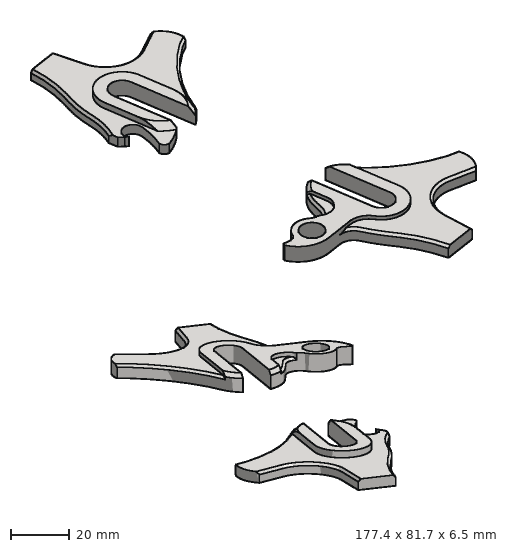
import cadquery as cq
import math


total_length = 177.38
axle_spacing = 110.0
arm_length = (total_length - axle_spacing) / 2
overall_height = 6.5
hook_plate_thickness = 4.0
hanger_plate_thickness = 5.0
edge_chamfer = 1.0

slot_radius = 5.05
rim_radius = 2 * slot_radius
slot_run = 40.0

nose_center = (15.65, 0.0)
nose_radius = 12.85
nose_corner_y = 10.2

arm_top_y = 6.8
arm_bottom_y = -7.0
arm_top_slope = math.radians(6)

lean = math.radians(20)
upper_arm_back = (-14.2, 35.6)
upper_arm_width = 12.65
upper_arm_bulge = 2.0
upper_arm_straight = 4.0
throat_radius = 13.0
front_curve_point = (8.3, 22.4)

lower_straight_start = (-16.1, -11.7)
lower_straight_end = (-12.9, -13.2)

hook_lower_bend = (-1.4, -16.8)
hook_heel_start = (9.8, -21.15)
hook_heel_end = (13.7, -21.15)
hook_barb = (16.6, -18.6)
hook_barb_inner = (15.3, -19.0)
notch_center = (15.8, -15.25)
notch_radius = 4.05
notch_end = math.radians(75 - 360)
hook_under_mid = (22.2, -13.1)
hook_under_end = (27.3, -15.7)
hook_tip_mid = (29.2, -15.1)
hook_tip_end = (30.05, -13.6)
hook_front_mid = (28.8, -9.2)
hook_front_top_x = 26.8

rim_end_x = 13.84
rim_end_radius = 13.4

eye_center = (8.2, -28.85)
eye_radius = 7.2
eye_hole_radius = 4.65
hanger_back_x = eye_center[0] - eye_radius
hanger_lower_bend = (-3.3, -16.85)
hanger_back_fillet = 8.0
neck_radius = 6.0
neck_center = (15.6, -rim_radius - neck_radius)
plate_neck_radius = 5.0
plate_neck_x = 16.6
leg_slope = math.radians(23)
leg_straight = 5.1
stop_eye_angle = math.radians(-64)
stop_inner_mid = (10.7, -36.9)
stop_inner_end = (10.75, -38.5)
stop_tip = (11.5, -41.0)
stop_tip_back = (10.5, -41.42)


def polar(center, radius, angle):
    """Point at a distance and a bearing from another point."""
    return (center[0] + radius * math.cos(angle), center[1] + radius * math.sin(angle))


def line(a, b):
    return cq.Edge.makeLine(cq.Vector(*a), cq.Vector(*b))


def arc(a, mid, b):
    return cq.Edge.makeThreePointArc(cq.Vector(*a), cq.Vector(*mid), cq.Vector(*b))


def arc_about(center, radius, start, end):
    """Arc on a circle, from one angle to another by way of the angle halfway."""
    return arc(
        polar(center, radius, start),
        polar(center, radius, (start + end) / 2),
        polar(center, radius, end),
    )


def tangent_arc(a, direction, b):
    return cq.Edge.makeTangentArc(cq.Vector(*a), cq.Vector(*direction), cq.Vector(*b))


def prism(edges, height):
    wire = cq.Wire.assembleEdges(edges)
    return cq.Workplane(cq.Solid.extrudeLinear(wire, [], cq.Vector(0, 0, height)))


def nose_x(y):
    return nose_center[0] + math.sqrt(nose_radius**2 - y**2)


def direction_between(a, b):
    return (b[0] - a[0], b[1] - a[1])


def upper_outline():
    """Edges from the upper slot corner around both arms to the end of the level arm.

    Returns the chamfered edges and the plain ones, the nose being the first plain edge.
    """
    arm_direction = lean + math.pi / 2
    back = upper_arm_back
    front = polar(back, upper_arm_width, lean)
    crown = polar(polar(back, upper_arm_width / 2, lean), upper_arm_bulge, arm_direction)
    front_bend = polar(front, -upper_arm_straight, arm_direction)

    slot_corner = (nose_x(slot_radius), slot_radius)
    nose_top = (nose_x(nose_corner_y), nose_corner_y)
    nose_mid_y = (slot_radius + nose_corner_y) / 2
    nose = arc(slot_corner, (nose_x(nose_mid_y), nose_mid_y), nose_top)

    arm_end = (-arm_length, arm_top_y)
    slope = math.tan(arm_top_slope)
    anchor = polar(arm_end, throat_radius, arm_top_slope + math.pi / 2)
    side = polar(back, throat_radius, lean + math.pi)
    drop = side[1] - anchor[1] - slope * (side[0] - anchor[0])
    travel = drop / (math.cos(lean) + slope * math.sin(lean))
    throat_center = polar(side, -travel, arm_direction)
    throat = arc_about(throat_center, throat_radius, lean, arm_top_slope - math.pi / 2)
    throat_start = polar(throat_center, throat_radius, lean)
    throat_end = polar(throat_center, throat_radius, arm_top_slope - math.pi / 2)

    chamfered = [
        arc(nose_top, front_curve_point, front_bend),
        line(front_bend, front),
        line(back, throat_start),
        throat,
        line(throat_end, arm_end),
    ]
    plain = [nose, arc(front, crown, back), line(arm_end, (-arm_length, arm_bottom_y))]
    return chamfered, plain


def lower_outline(bend):
    """Chamfered edges from the end of the level arm along the bottom, as far as a given bend."""
    slope = direction_between(lower_straight_start, lower_straight_end)
    backwards = (-slope[0], -slope[1])
    return [
        tangent_arc(lower_straight_start, backwards, (-arm_length, arm_bottom_y)),
        line(lower_straight_start, lower_straight_end),
        tangent_arc(lower_straight_end, slope, bend),
    ]


def chamfer_top(body, outline_edges, height, size):
    """Chamfer the top edges of a body that lie above the given outline edges."""
    tolerance = 0.001
    chosen = []
    for edge in body.faces(">Z").edges().vals():
        middle = edge.positionAt(0.5)
        below = cq.Vertex.makeVertex(middle.x, middle.y, middle.z - height)
        if min(outline.distance(below) for outline in outline_edges) < tolerance:
            chosen.append(edge)
    return body.newObject(chosen).chamfer(size)


def slot_shape(radius, length, height):
    """Round-ended bar about the axle, running towards +X."""
    bar = cq.Workplane().box(length, 2 * radius, height, centered=(False, True, False))
    return bar.union(cq.Workplane().circle(radius).extrude(height))


def cone(center, top_radius, base_z):
    """Cone with a 45 degree side, narrowing from base_z to the full height."""
    height = overall_height - base_z
    solid = cq.Solid.makeCone(top_radius + height, top_radius, height, cq.Vector(*center, base_z))
    return cq.Workplane(solid)


def hook_rim():
    """Rim of the hook dropout: each leg ends in an arc with a sloping face."""
    base_z = hook_plate_thickness
    height = overall_height - base_z
    rim = slot_shape(rim_radius, rim_end_x, height).translate((0, 0, base_z))
    for side in (1, -1):
        leg = cq.Workplane().box(slot_run, rim_radius, height, centered=(False, True, False))
        leg = leg.translate((rim_end_x, side * rim_radius / 2, base_z))
        end_center = (rim_end_x, side * (rim_radius - rim_end_radius))
        rim = rim.union(leg.intersect(cone(end_center, rim_end_radius, base_z)))
    return rim


def hook_dropout():
    chamfered, plain = upper_outline()
    chamfered += lower_outline(hook_lower_bend)
    bend_direction = chamfered[-1].tangentAt(1).toTuple()[:2]
    chamfered.append(tangent_arc(hook_lower_bend, bend_direction, hook_heel_start))

    notch_start = math.atan2(*reversed(direction_between(notch_center, hook_barb_inner)))
    notch_top = polar(notch_center, notch_radius, notch_end)
    front_top = (hook_front_top_x, -slot_radius)
    plain += [
        line(hook_heel_start, hook_heel_end),
        line(hook_heel_end, hook_barb),
        line(hook_barb, polar(notch_center, notch_radius, notch_start)),
        arc_about(notch_center, notch_radius, notch_start, notch_end),
        arc(notch_top, hook_under_mid, hook_under_end),
        arc(hook_under_end, hook_tip_mid, hook_tip_end),
        arc(hook_tip_end, hook_front_mid, front_top),
        line(front_top, (nose_x(slot_radius), slot_radius)),
    ]
    plate = prism(chamfered + plain, hook_plate_thickness)
    plate = chamfer_top(plate, chamfered, hook_plate_thickness, edge_chamfer)
    rim = hook_rim().intersect(prism(chamfered + plain, overall_height))
    return plate.union(rim).cut(slot_shape(slot_radius, slot_run, overall_height))


def plate_neck():
    """Center of the fillet between the plate and the eye, and the angle at which it touches the eye."""
    across = plate_neck_x - eye_center[0]
    up = math.sqrt((eye_radius + plate_neck_radius) ** 2 - across**2)
    return (plate_neck_x, eye_center[1] + up), math.atan2(up, across)


def hanger():
    """Full-height hanger arm with its stop, up to the lower leg of the rim."""
    plate_neck_center, eye_touch = plate_neck()
    neck_side = polar(plate_neck_center, plate_neck_radius, math.pi)
    eye_end = polar(eye_center, eye_radius, stop_eye_angle)

    fillet_x = hanger_back_x - hanger_back_fillet
    fillet_y = -math.sqrt((rim_radius + hanger_back_fillet) ** 2 - fillet_x**2)
    fillet_center = (fillet_x, fillet_y)
    rim_touch = math.atan2(-fillet_y, -fillet_x)
    on_rim = polar(fillet_center, hanger_back_fillet, rim_touch)
    back_top = (hanger_back_x, fillet_y)
    back_bottom = (hanger_back_x, eye_center[1])

    neck_start = (neck_center[0], -rim_radius)
    inside_rim = (neck_center[0], -slot_radius)
    edges = [
        line(on_rim, inside_rim),
        line(inside_rim, neck_start),
        line(neck_start, neck_side),
        arc_about(plate_neck_center, plate_neck_radius, math.pi, math.pi + eye_touch),
        arc_about(eye_center, eye_radius, eye_touch, stop_eye_angle),
        arc(eye_end, stop_inner_mid, stop_inner_end),
        line(stop_inner_end, stop_tip),
        line(stop_tip, stop_tip_back),
        tangent_arc(back_bottom, (0, -1), stop_tip_back),
        line(back_bottom, back_top),
        arc_about(fillet_center, hanger_back_fillet, 0, rim_touch),
    ]
    neck = cq.Workplane().center(*neck_center).circle(neck_radius).extrude(overall_height)
    return prism(edges, overall_height).cut(neck)


def hanger_dropout():
    chamfered, plain = upper_outline()
    upper_nose = plain[0]
    chamfered += lower_outline(hanger_lower_bend)

    bend_direction = chamfered[-1].tangentAt(1).toTuple()[:2]
    fall = math.atan2(-bend_direction[1], bend_direction[0])
    back_radius = (hanger_back_x - hanger_lower_bend[0]) / (1 - math.sin(fall))
    back_corner = (hanger_back_x, hanger_lower_bend[1] - back_radius * math.cos(fall))
    chamfered.append(tangent_arc(hanger_lower_bend, bend_direction, back_corner))

    plate_neck_center, eye_touch = plate_neck()
    neck_low = polar(plate_neck_center, plate_neck_radius, math.pi + eye_touch)
    plate_neck_top = leg_slope + math.pi / 2
    neck_high = polar(plate_neck_center, plate_neck_radius, plate_neck_top)
    nose_start = polar(neck_high, leg_straight, leg_slope)
    lower_corner = (nose_x(slot_radius), -slot_radius)
    lower_nose = tangent_arc(nose_start, direction_between(neck_high, nose_start), lower_corner)
    chamfered += [
        arc_about(plate_neck_center, plate_neck_radius, math.pi + eye_touch, plate_neck_top),
        line(neck_high, nose_start),
        lower_nose,
    ]
    plain += [
        line(back_corner, neck_low),
        line(lower_corner, (nose_x(slot_radius), slot_radius)),
    ]
    plate = prism(chamfered + plain, hanger_plate_thickness)
    plate = chamfer_top(plate, chamfered, hanger_plate_thickness, edge_chamfer)

    nose_chamfer = overall_height - hanger_plate_thickness
    rim = slot_shape(rim_radius, slot_run, overall_height)
    rim = rim.intersect(prism(chamfered + plain, overall_height))
    rim = rim.cut(slot_shape(slot_radius, slot_run, overall_height))
    rim = chamfer_top(rim, [upper_nose, lower_nose], overall_height, nose_chamfer)
    eye_hole = cq.Workplane().center(*eye_center).circle(eye_hole_radius).extrude(overall_height)
    body = plate.union(rim).union(hanger()).cut(eye_hole)
    return body.cut(slot_shape(slot_radius, slot_run, overall_height))


left_hook_dropout = hook_dropout().translate((-axle_spacing / 2, 0, 0))
right_hanger_dropout = hanger_dropout().mirror("YZ").translate((axle_spacing / 2, 0, 0))

result = cq.Compound.makeCompound([*left_hook_dropout.vals(), *right_hanger_dropout.vals()])